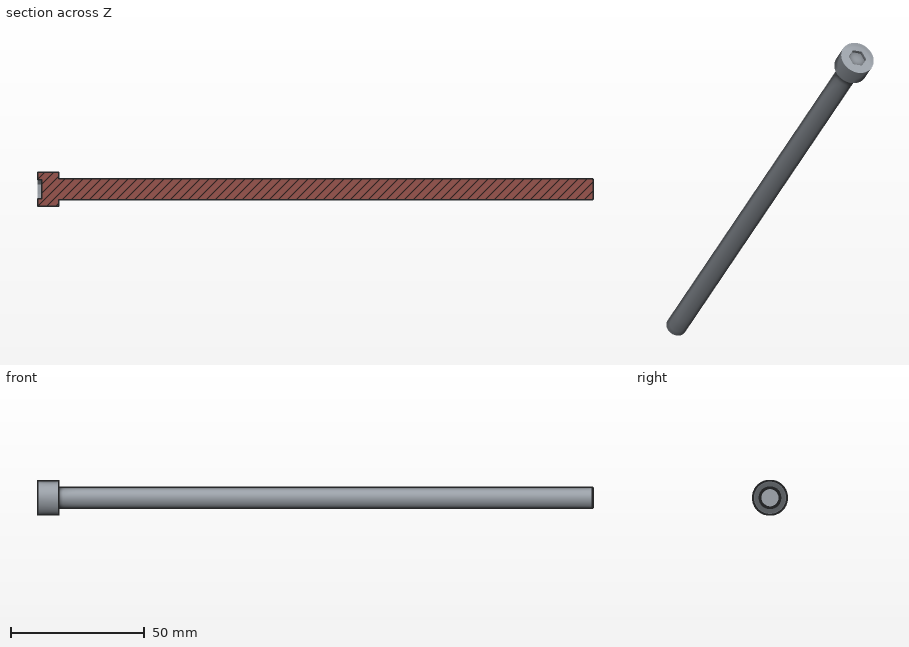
import cadquery as cq
import math

total_length = 208.0
head_diameter = 13.0
head_height = 8.0
shank_diameter = 8.0
tip_chamfer = 0.5
socket_across_flats = 6.0
socket_depth = 1.5

head_face_x = -total_length / 2
shank_length = total_length - head_height


def make_head():
    plane = cq.Workplane("YZ", origin=(head_face_x, 0, 0))
    return plane.circle(head_diameter / 2).extrude(head_height)


def make_shank():
    plane = cq.Workplane("YZ", origin=(head_face_x + head_height, 0, 0))
    shank = plane.circle(shank_diameter / 2).extrude(shank_length)
    return shank.faces(">X").chamfer(tip_chamfer)


def make_socket():
    across_corners = socket_across_flats / math.cos(math.pi / 6)
    plane = cq.Workplane("YZ", origin=(head_face_x, 0, 0))
    return plane.polygon(6, across_corners).extrude(socket_depth)


result = make_head().union(make_shank()).cut(make_socket())